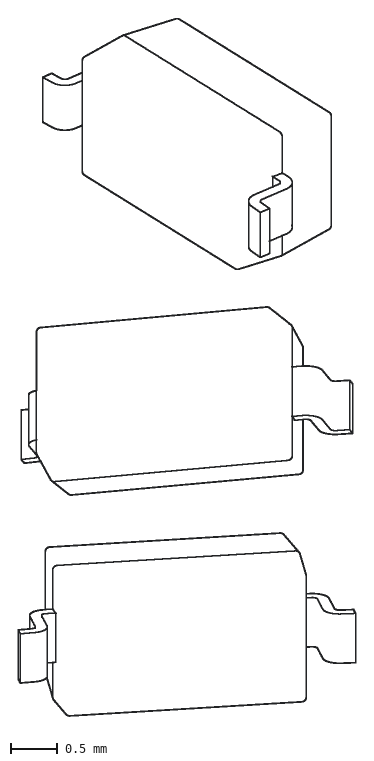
import cadquery as cq
import math

HOUSING_LENGTH = 2.695
HOUSING_HEIGHT = 1.55
BACK_DEPTH = 0.745
FRONT_DEPTH = 0.605
DRAFT_ANGLE = 3.5
EDGE_RADIUS = 0.05

LEAD_SPAN = 3.65
LEAD_WIDTH = 0.562
LEAD_THICKNESS = 0.128
SHANK_OUTER_X = 1.628
FOOT_DEPTH = 0.705
FOOT_SLOPE = 3.5
INNER_BEND_RADIUS = 0.055
OUTER_BEND_RADIUS = INNER_BEND_RADIUS + LEAD_THICKNESS
LEAD_INSERTION = 0.182

TIP_X = LEAD_SPAN / 2
SHANK_INNER_X = SHANK_OUTER_X - LEAD_THICKNESS
LEAD_ROOT_X = HOUSING_LENGTH / 2 - LEAD_INSERTION


def make_housing_half(depth, direction):
    """Drafted half block on the parting plane; direction is +1 for back, -1 for front."""
    half = (
        cq.Workplane(cq.Plane(origin=(0, 0, 0), xDir=(1, 0, 0), normal=(0, direction, 0)))
        .rect(HOUSING_LENGTH, HOUSING_HEIGHT)
        .extrude(depth, taper=DRAFT_ANGLE)
    )
    parting_face = "<Y" if direction > 0 else ">Y"
    outer_edges = half.edges().edges("not(" + parting_face + ")")
    return outer_edges.fillet(EDGE_RADIUS)


def bend(lead, corner, radius):
    """Round the lead edge that stands parallel to Z at the given XY corner."""
    edge = lead.edges("|Z").edges(cq.NearestToPointSelector((*corner, 0)))
    return edge.fillet(radius)


def make_lead(side):
    """Lead leaving the housing on the +X side, or on the -X side for side = -1."""
    slope = math.tan(math.radians(FOOT_SLOPE))
    vertical_thickness = LEAD_THICKNESS / math.cos(math.radians(FOOT_SLOPE))
    inner_tip_y = vertical_thickness - FOOT_DEPTH

    outer_shoulder = (side * SHANK_OUTER_X, 0)
    inner_shoulder = (side * SHANK_INNER_X, -LEAD_THICKNESS)
    inner_heel = (side * SHANK_OUTER_X, inner_tip_y + slope * (TIP_X - SHANK_OUTER_X))
    outer_heel = (side * SHANK_INNER_X, -FOOT_DEPTH + slope * (TIP_X - SHANK_INNER_X))

    lead = (
        cq.Workplane("XY")
        .moveTo(side * LEAD_ROOT_X, 0)
        .lineTo(*outer_shoulder)
        .lineTo(*inner_heel)
        .lineTo(side * TIP_X, inner_tip_y)
        .lineTo(side * TIP_X, -FOOT_DEPTH)
        .lineTo(*outer_heel)
        .lineTo(*inner_shoulder)
        .lineTo(side * LEAD_ROOT_X, -LEAD_THICKNESS)
        .close()
        .extrude(LEAD_WIDTH / 2, both=True)
    )
    for corner in (outer_shoulder, outer_heel):
        lead = bend(lead, corner, OUTER_BEND_RADIUS)
    for corner in (inner_shoulder, inner_heel):
        lead = bend(lead, corner, INNER_BEND_RADIUS)
    return lead


leads = [make_lead(side) for side in (-1, 1)]
back_housing = make_housing_half(BACK_DEPTH, 1)

front_housing = make_housing_half(FRONT_DEPTH, -1)
for lead in leads:
    front_housing = front_housing.cut(lead)

result = cq.Compound.makeCompound(
    [
        back_housing.solids().val(),
        front_housing.solids().val(),
        *[lead.solids().val() for lead in leads],
    ]
)